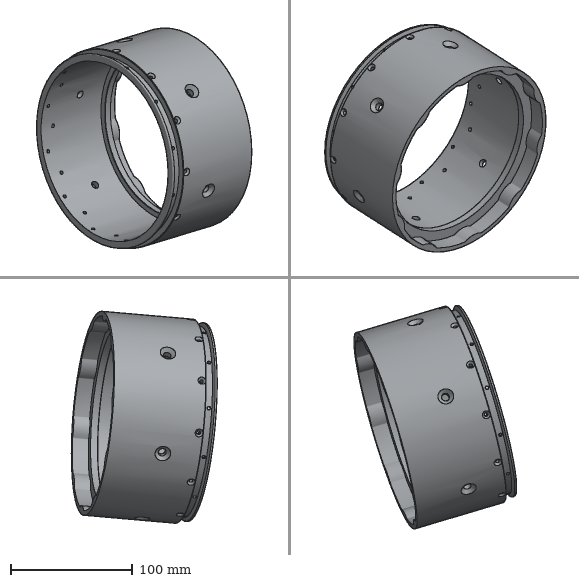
import cadquery as cq
import math

LENGTH = 87.21

BODY_RADIUS = 168.91 / 2
BODY_FRONT_Y = 9.8
BODY_EDGE_CHAMFER = 0.5
GROOVE_RADIUS = 79.1
GROOVE_FRONT_Y = 3.5
RIM_RADIUS = 82.25
RIM_CONE_TOP_RADIUS = 81.5
RIM_THICKNESS = 2.5
RIM_ROUNDING = 0.6

BORE_RADIUS = 76.3
LIP_RADIUS = 71.5
LIP_FRONT_Y = 67.6
LIP_BACK_Y = 73.7
LIP_EDGE_CHAMFER = 0.3
RECESS_RADIUS = 80.5

LOBE_COUNT = 10
LOBE_FIRST_ANGLE = -21.2
LOBE_ROUND_RADIUS = 18.0
LOBE_PEAK_RADIUS = 77.7
LOBE_ROOT_FILLET = 1.5

LARGE_HOLE_COUNT = 6
LARGE_HOLE_FIRST_ANGLE = 43.6
LARGE_HOLE_Y = 41.4
LARGE_HOLE_DIAMETER = 6.4
LARGE_SINK_DIAMETER = 13.0

SMALL_HOLE_COUNT = 12
SMALL_HOLE_FIRST_ANGLE = 0
SMALL_HOLE_Y = 13.5
SMALL_HOLE_DIAMETER = 2.9
SMALL_SINK_DIAMETER = 6.5

GROOVE_HOLE_COUNT = SMALL_HOLE_COUNT
GROOVE_HOLE_FIRST_ANGLE = 180 / SMALL_HOLE_COUNT
GROOVE_HOLE_Y = 5.8
GROOVE_HOLE_DIAMETER = 2.7

SINK_ANGLE = 90
CUT_MARGIN = 2.0


def polar(radius, angle):
    """Return the X and Z of a point at an angle measured from +X towards +Z."""
    return radius * math.cos(math.radians(angle)), radius * math.sin(math.radians(angle))


def spread(first_angle, count):
    """Return equally spaced angles around the full circle."""
    return [first_angle + i * 360 / count for i in range(count)]


def cylinder_along_y(radius, y_start, y_end, x=0, z=0):
    return cq.Workplane(
        cq.Solid.makeCylinder(radius, y_end - y_start, cq.Vector(x, y_start, z), cq.Vector(0, 1, 0))
    )


def make_ring():
    """Revolve the stepped wall section, drawn as radius along X against Y."""
    section = (
        cq.Workplane("XY")
        .moveTo(BORE_RADIUS, 0)
        .lineTo(RIM_RADIUS - RIM_ROUNDING, 0)
        .radiusArc((RIM_RADIUS, RIM_ROUNDING), -RIM_ROUNDING)
        .lineTo(RIM_RADIUS, RIM_THICKNESS - RIM_ROUNDING)
        .lineTo(RIM_CONE_TOP_RADIUS, RIM_THICKNESS)
        .lineTo(GROOVE_RADIUS, GROOVE_FRONT_Y)
        .lineTo(GROOVE_RADIUS, BODY_FRONT_Y)
        .lineTo(BODY_RADIUS - BODY_EDGE_CHAMFER, BODY_FRONT_Y)
        .lineTo(BODY_RADIUS, BODY_FRONT_Y + BODY_EDGE_CHAMFER)
        .lineTo(BODY_RADIUS, LENGTH)
        .lineTo(LIP_RADIUS, LENGTH)
        .lineTo(LIP_RADIUS, LIP_FRONT_Y + LIP_EDGE_CHAMFER)
        .lineTo(LIP_RADIUS + LIP_EDGE_CHAMFER, LIP_FRONT_Y)
        .lineTo(BORE_RADIUS, LIP_FRONT_Y)
        .close()
    )
    return section.revolve(360, (0, 0, 0), (0, 1, 0))


def make_recess():
    """Make the back recess volume: a disc with a rounded notch for every lobe."""
    recess = cylinder_along_y(RECESS_RADIUS, LIP_BACK_Y, LENGTH)
    for angle in spread(LOBE_FIRST_ANGLE, LOBE_COUNT):
        x, z = polar(LOBE_PEAK_RADIUS + LOBE_ROUND_RADIUS, angle)
        recess = recess.cut(cylinder_along_y(LOBE_ROUND_RADIUS, LIP_BACK_Y, LENGTH, x, z))
    return recess.edges("|Y").fillet(LOBE_ROOT_FILLET)


def cut_radial_holes(ring, angles, y, diameter, surface_radius, sink_diameter=None):
    """Cut holes through the wall, pointing at the axis, countersunk when a sink diameter is given."""
    start_radius = surface_radius + CUT_MARGIN
    depth = start_radius - LIP_RADIUS
    for angle in angles:
        x, z = polar(1, angle)
        inward = cq.Vector(-x, 0, -z)
        start = cq.Vector(x * start_radius, y, z * start_radius)
        ring = ring.cut(cq.Workplane(cq.Solid.makeCylinder(diameter / 2, depth, start, inward)))
        if sink_diameter is not None:
            slope = math.tan(math.radians(SINK_ANGLE / 2))
            mouth_radius = sink_diameter / 2 + CUT_MARGIN * slope
            cone = cq.Solid.makeCone(mouth_radius, 0, mouth_radius / slope, start, inward)
            ring = ring.cut(cq.Workplane(cone))
    return ring


result = make_ring().cut(make_recess())
result = cut_radial_holes(
    result,
    spread(LARGE_HOLE_FIRST_ANGLE, LARGE_HOLE_COUNT),
    LARGE_HOLE_Y,
    LARGE_HOLE_DIAMETER,
    BODY_RADIUS,
    LARGE_SINK_DIAMETER,
)
result = cut_radial_holes(
    result,
    spread(SMALL_HOLE_FIRST_ANGLE, SMALL_HOLE_COUNT),
    SMALL_HOLE_Y,
    SMALL_HOLE_DIAMETER,
    BODY_RADIUS,
    SMALL_SINK_DIAMETER,
)
result = cut_radial_holes(
    result,
    spread(GROOVE_HOLE_FIRST_ANGLE, GROOVE_HOLE_COUNT),
    GROOVE_HOLE_Y,
    GROOVE_HOLE_DIAMETER,
    GROOVE_RADIUS,
)